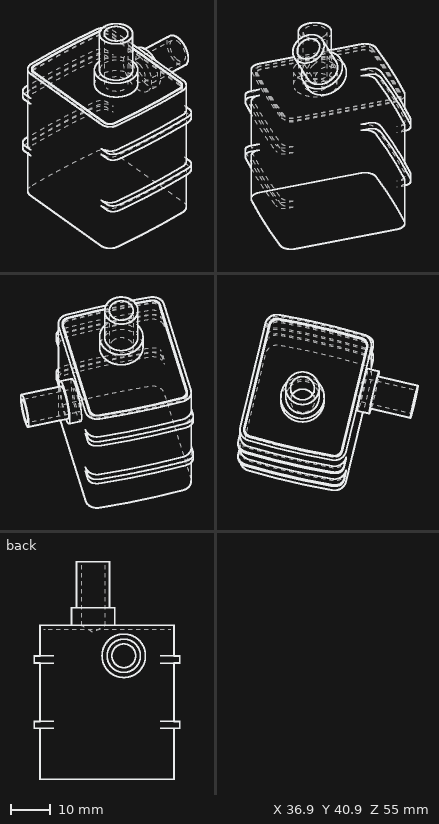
import cadquery as cq
import math

overall_height = 55.0

body_width = 33.95
body_depth = 27.5
body_height = 39.0
side_bow_radius = 189.75
corner_radius = 3.0

flange_offset = 1.5
flange_thickness = 1.8
flange_edge_radius = 2.0
flange_bottoms = (12.85, 29.35)

wall_thickness = 1.0
seam_width = 0.2
seam_depth = 1.0

pipe_diameter = 8.4
collar_diameter = 11.0
bore_diameter = 6.0
drill_tip_angle = 118.0

top_port_x = 3.5
top_collar_length = 4.4
top_port_length = overall_height - body_height

rear_port_x = -4.25
rear_port_z = 31.25
rear_collar_length = 3.0
rear_port_length = 13.4


def bowed_prism(offset, depth, height):
    """Prism whose sides are arcs, moved outward by offset, between flat front and back faces."""
    crown_x = body_width / 2 + offset
    bow_radius = side_bow_radius + offset
    corner_y = depth / 2
    corner_x = crown_x - bow_radius + math.sqrt(bow_radius**2 - corner_y**2)
    return (
        cq.Workplane("XY")
        .moveTo(-corner_x, -corner_y)
        .lineTo(corner_x, -corner_y)
        .threePointArc((crown_x, 0), (corner_x, corner_y))
        .lineTo(-corner_x, corner_y)
        .threePointArc((-crown_x, 0), (-corner_x, -corner_y))
        .close()
        .extrude(height)
    )


def housing_prism(offset, height):
    """Housing outline moved outward (or inward if negative) by offset on every side."""
    prism = bowed_prism(offset, body_depth + 2 * offset, height)
    return prism.edges("|Z").fillet(corner_radius + offset)


def flange(bottom_z):
    """Offset housing outline cut flush with the front and back, with the new edges rounded."""
    flush_box = cq.Workplane("XY").box(
        body_width + 2 * flange_offset, body_depth, flange_thickness, centered=(True, True, False)
    )
    plate = housing_prism(flange_offset, flange_thickness).intersect(flush_box)
    cut_edges = plate.faces("<Y or >Y").edges("|Z")
    plate = plate.newObject(cut_edges.vals()).fillet(flange_edge_radius)
    return plate.translate((0, 0, bottom_z))


def seam_groove():
    outer = housing_prism(-wall_thickness, seam_depth)
    lid = housing_prism(-wall_thickness - seam_width, seam_depth)
    return outer.cut(lid).translate((0, 0, body_height - seam_depth))


def port(base, collar_length, length):
    """Collar and pipe standing on the base plane."""
    collar = cq.Workplane(base).circle(collar_diameter / 2).extrude(collar_length)
    pipe = cq.Workplane(base).circle(pipe_diameter / 2).extrude(length)
    return collar.union(pipe)


def port_bore(base, length):
    """Drilled bore, full diameter down to the base plane, ending in a conical tip."""
    bore_radius = bore_diameter / 2
    tip_depth = bore_radius / math.tan(math.radians(drill_tip_angle / 2))
    profile = (
        cq.Workplane("XZ")
        .polyline([(0, -tip_depth), (bore_radius, 0), (bore_radius, length), (0, length)])
        .close()
    )
    bore = profile.revolve(360, (0, 0, 0), (0, 1, 0)).val()
    return cq.Workplane(bore.moved(base.location))


top_base = cq.Plane(origin=(top_port_x, 0, body_height))
rear_base = cq.Plane(
    origin=(rear_port_x, body_depth / 2, rear_port_z), xDir=(1, 0, 0), normal=(0, 1, 0)
)

result = housing_prism(0, body_height)
for bottom_z in flange_bottoms:
    result = result.union(flange(bottom_z))
result = result.cut(seam_groove())

for base, collar_length, port_length in (
    (top_base, top_collar_length, top_port_length),
    (rear_base, rear_collar_length, rear_port_length),
):
    result = result.union(port(base, collar_length, port_length))
    result = result.cut(port_bore(base, port_length))